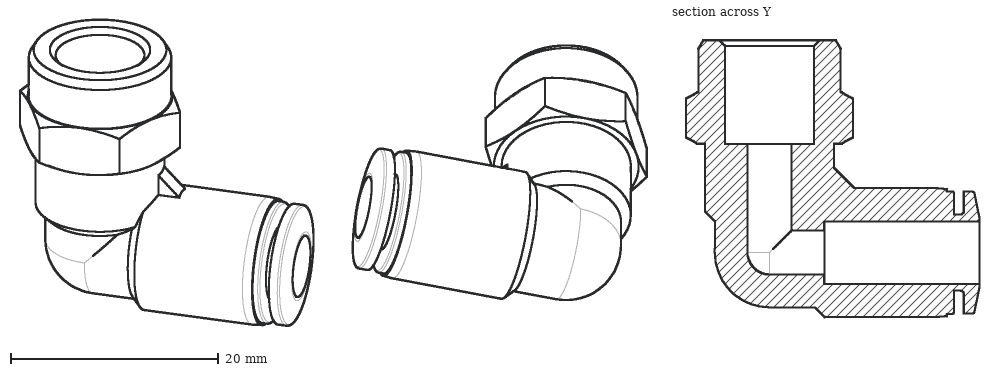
import cadquery as cq
import math


overall_length = 28.38

elbow_radius = 5.3
body_radius = 6.25
shoulder = body_radius - elbow_radius
gusset_width = 2.0
gusset_reach = 8.2

leg_top = 20.52
leg_body_start = 3.97
hex_bottom = 10.5
hex_top = 15.5
hex_across_flats = 14.0
hex_corner_radius = hex_across_flats / 2 / math.cos(math.radians(30))
hex_chamfer_angle = 30.0
thread_radius = 6.9
thread_end_radius = 6.4
thread_chamfer_height = 0.82

tube_body_start = 5.3
sleeve_start = 16.2
sleeve_end = 17.15
sleeve_end_radius = 6.15
retainer_end = 17.82
retainer_radius = 11.9 / 2
retainer_round = 0.17
neck_radius = 7.4 / 2
flare_start = 18.42
flare_radius = 3.97
collar_start = 18.75
collar_radius = 11.8 / 2
collar_edge = 19.6
collar_taper_start = 19.8
collar_taper_radius = 5.75
collar_end = overall_length - hex_corner_radius
collar_face_radius = 3.35

passage_radius = 4.2 / 2
thread_bore_radius = 8.57 / 2
thread_bore_mouth_radius = 4.85
thread_bore_chamfer = thread_bore_mouth_radius - thread_bore_radius
thread_bore_floor = hex_bottom
tube_bore_radius = 6.0 / 2
tube_bore_floor = tube_body_start


def cylinder_z(radius, start, end):
    return cq.Workplane("XY").workplane(offset=start).circle(radius).extrude(end - start)


def cylinder_x(radius, start, end):
    return cq.Workplane("YZ").workplane(offset=start).circle(radius).extrude(end - start)


def mitred_elbow(radius, z_end, x_end):
    """Two equal cylinders meeting in a ball at the origin."""
    ball = cq.Workplane("XY").sphere(radius)
    return ball.union(cylinder_z(radius, 0, z_end)).union(cylinder_x(radius, 0, x_end))


def threaded_leg():
    profile = (
        cq.Workplane("XZ")
        .moveTo(0, leg_body_start - shoulder)
        .lineTo(elbow_radius, leg_body_start - shoulder)
        .lineTo(body_radius, leg_body_start)
        .lineTo(body_radius, hex_bottom)
        .lineTo(thread_radius, hex_bottom)
        .lineTo(thread_radius, leg_top - thread_chamfer_height)
        .lineTo(thread_end_radius, leg_top)
        .lineTo(0, leg_top)
        .close()
    )
    return profile.revolve(360, (0, 0, 0), (0, 1, 0))


def chamfered_hex():
    face_radius = hex_across_flats / 2
    drop = (hex_corner_radius - face_radius) * math.tan(math.radians(hex_chamfer_angle))
    prism = (
        cq.Workplane("XY")
        .workplane(offset=hex_bottom)
        .polygon(6, 2 * hex_corner_radius)
        .extrude(hex_top - hex_bottom)
    )
    chamfer_limit = (
        cq.Workplane("XZ")
        .moveTo(0, hex_bottom)
        .lineTo(face_radius, hex_bottom)
        .lineTo(hex_corner_radius, hex_bottom + drop)
        .lineTo(hex_corner_radius, hex_top - drop)
        .lineTo(face_radius, hex_top)
        .lineTo(0, hex_top)
        .close()
        .revolve(360, (0, 0, 0), (0, 1, 0))
    )
    return prism.intersect(chamfer_limit)


def tube_leg():
    profile = (
        cq.Workplane("XZ")
        .moveTo(tube_body_start - shoulder, 0)
        .lineTo(tube_body_start - shoulder, elbow_radius)
        .lineTo(tube_body_start, body_radius)
        .lineTo(sleeve_start, body_radius)
        .lineTo(sleeve_end, sleeve_end_radius)
        .lineTo(sleeve_end, retainer_radius)
        .lineTo(retainer_end - retainer_round, retainer_radius)
        .radiusArc((retainer_end, retainer_radius - retainer_round), retainer_round)
        .lineTo(retainer_end, neck_radius)
        .lineTo(flare_start, neck_radius)
        .tangentArcPoint((collar_start, flare_radius), relative=False)
        .lineTo(collar_start, collar_radius)
        .lineTo(collar_edge, collar_radius)
        .tangentArcPoint((collar_taper_start, collar_taper_radius), relative=False)
        .lineTo(collar_end, collar_face_radius)
        .lineTo(collar_end, 0)
        .close()
    )
    return profile.revolve(360, (0, 0, 0), (1, 0, 0))


def gusset():
    edge_top = body_radius + gusset_reach
    return (
        cq.Workplane("XZ")
        .moveTo(elbow_radius, elbow_radius)
        .lineTo(edge_top - elbow_radius, elbow_radius)
        .lineTo(elbow_radius, edge_top - elbow_radius)
        .close()
        .extrude(gusset_width / 2, both=True)
    )


def bores():
    passage = mitred_elbow(passage_radius, thread_bore_floor, tube_bore_floor)
    thread_bore = (
        cq.Workplane("XZ")
        .moveTo(0, thread_bore_floor)
        .lineTo(thread_bore_radius, thread_bore_floor)
        .lineTo(thread_bore_radius, leg_top - thread_bore_chamfer)
        .lineTo(thread_bore_mouth_radius, leg_top)
        .lineTo(0, leg_top)
        .close()
        .revolve(360, (0, 0, 0), (0, 1, 0))
    )
    tube_bore = cylinder_x(tube_bore_radius, tube_bore_floor, collar_end)
    return passage.union(thread_bore).union(tube_bore)


outer = (
    mitred_elbow(elbow_radius, leg_body_start, tube_body_start)
    .union(threaded_leg())
    .union(chamfered_hex())
    .union(tube_leg())
    .union(gusset())
)
result = outer.cut(bores())